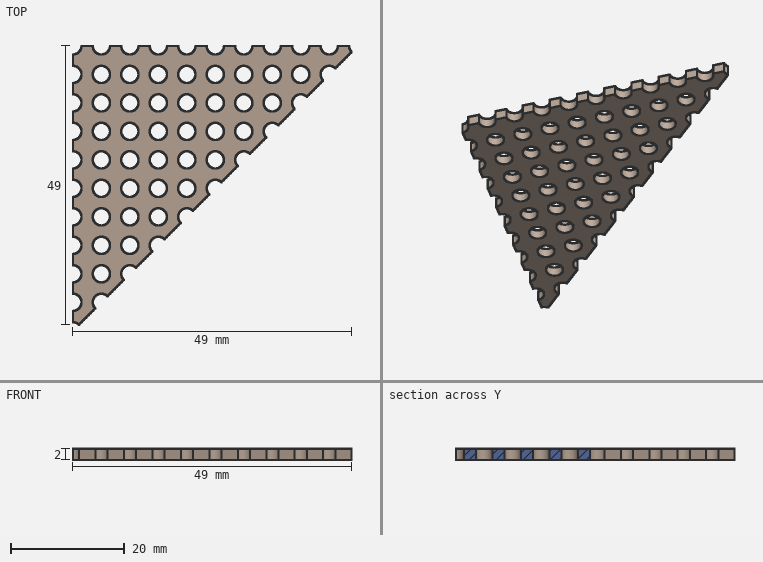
import cadquery as cq
import math

outer_length = 48.95
thickness = 2.0
hole_diameter = 3.0
pitch_count = 10

hole_radius = hole_diameter / 2
tip_loss = hole_radius * math.cos(math.radians(45))
leg = outer_length + tip_loss
pitch = leg / pitch_count


def triangular_plate():
    """Right-angled plate with its square corner at the origin and legs along +X and -Y."""
    corners = [(0, 0), (leg, 0), (0, -leg)]
    return cq.Workplane("XY").polyline(corners).close().extrude(thickness)


def perforations():
    """Square grid of through holes, with centres on all three sides of the triangle."""
    centres = [
        (column * pitch, -row * pitch)
        for row in range(pitch_count + 1)
        for column in range(pitch_count + 1 - row)
    ]
    return cq.Workplane("XY").pushPoints(centres).circle(hole_radius).extrude(thickness)


result = triangular_plate().cut(perforations())